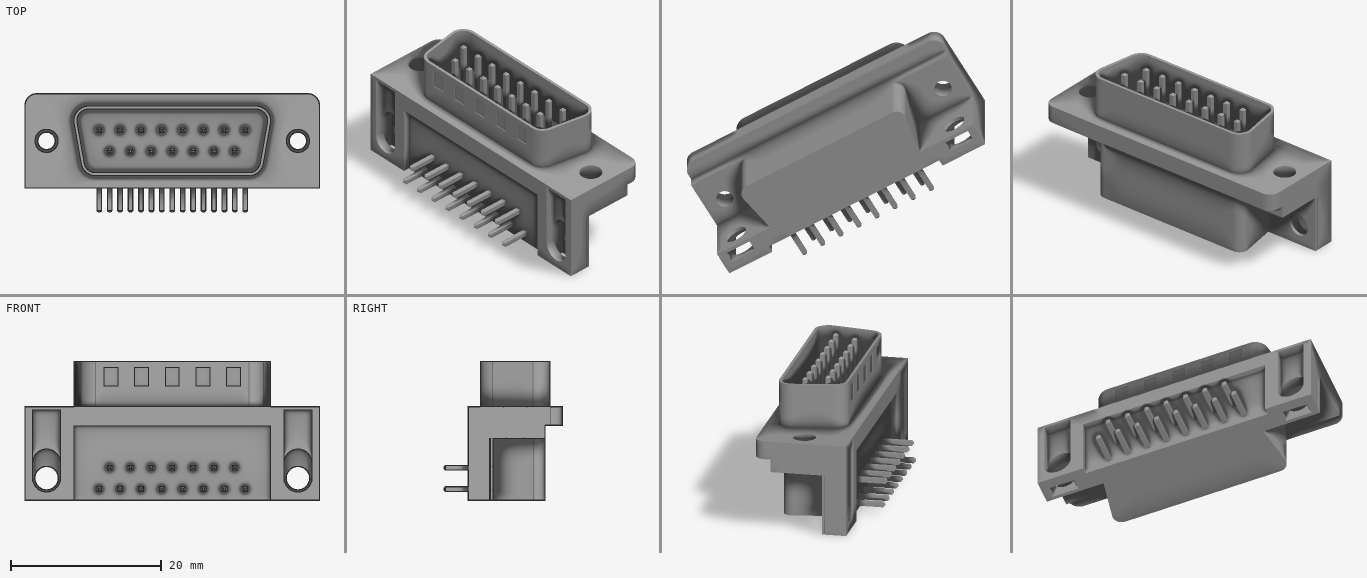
import cadquery as cq
import math


body_width = 39.14
body_height = 12.45
flange_depth = 12.54
flange_thickness = 2.47
flange_corner_radius = 1.55
block_depth = 10.24
block_height = 4.22
leg_depth = 3.3
leg_height = body_height - block_height

recess_width = 26.1
recess_depth = 0.9
recess_top_gap = 2.55
recess_top = body_height - recess_top_gap

shell_width = 26.14
shell_depth = 9.25
shell_height = 6.04
shell_wall = 0.4
shell_corner_radius = 1.95
shell_side_angle = 10
shell_center_y = flange_depth / 2
housing_inset = shell_center_y + shell_depth / 2 - block_depth

dimple_count = 5
dimple_pitch = 4.07
dimple_width = 1.83
dimple_height = 2.48
dimple_depth = 0.1
dimple_top_gap = 0.8

mount_spacing = 33.4
screw_hole_diameter = 2.3
screw_counterbore_diameter = 3.07
screw_counterbore_depth = flange_thickness
board_hole_diameter = 3.1
board_hole_z = 2.96

slot_width = 3.68
slot_depth = 1.35
slot_top = 12.0
slot_pocket_depth = 2.84
slot_pocket_rise = 2.03

groove_width = 0.13
groove_depth = 0.2
groove_y = 2.9

pin_size = 0.64
pin_tip_chamfer = 0.2
pin_pitch = 2.77
pin_row_spacing = 2.84
long_row_count = 8
short_row_count = 7
mating_pin_height = shell_height
solder_pin_length = 3.18
solder_row_z = 1.5
pin_root = 1.0


def box(width, y_range, z_range, center_x=0):
    """Box centred on center_x, spanning the given Y and Z ranges."""
    y_min, y_max = y_range
    z_min, z_max = z_range
    return (
        cq.Workplane("XY", origin=(center_x, (y_min + y_max) / 2, z_min))
        .rect(width, y_max - y_min)
        .extrude(z_max - z_min)
    )


def d_prism(inset, z_min, z_max):
    """D-shaped prism whose outline lies inside the shell outline by inset."""
    angle = math.radians(shell_side_angle)
    corner_radius = shell_corner_radius - inset
    half_depth = shell_depth / 2 - inset
    back_arc_x = shell_width / 2 - shell_corner_radius
    back_arc_y = shell_depth / 2 - shell_corner_radius
    side_x = back_arc_x + corner_radius * math.cos(angle)
    side_y = back_arc_y - corner_radius * math.sin(angle)
    back_x = side_x + (half_depth - side_y) * math.tan(angle)
    front_x = side_x - (half_depth + side_y) * math.tan(angle)
    corners = [
        (-back_x, half_depth),
        (back_x, half_depth),
        (front_x, -half_depth),
        (-front_x, -half_depth),
    ]
    return (
        cq.Workplane("XY", origin=(0, shell_center_y, z_min))
        .polyline(corners)
        .close()
        .extrude(z_max - z_min)
        .edges("|Z")
        .fillet(corner_radius)
    )


def row_positions(count, pitch):
    """Evenly spaced positions centred on zero."""
    return [(i - (count - 1) / 2) * pitch for i in range(count)]


def make_body():
    flange = box(body_width, (0, flange_depth), (body_height - flange_thickness, body_height))
    flange = flange.edges("|Z and >Y").fillet(flange_corner_radius)
    block = box(body_width, (0, block_depth), (leg_height, body_height))
    legs = box(body_width, (0, leg_depth), (0, body_height))
    housing = d_prism(housing_inset, 0, body_height)
    recess = box(recess_width, (0, recess_depth), (0, recess_top))
    return block.union(flange).union(legs).union(housing).cut(recess)


def make_shell():
    top = body_height + shell_height
    shell = d_prism(0, body_height, top).cut(d_prism(shell_wall, body_height, top))
    front_y = shell_center_y - shell_depth / 2
    dimple_top = top - dimple_top_gap
    for x in row_positions(dimple_count, dimple_pitch):
        dimple = box(
            dimple_width,
            (front_y, front_y + dimple_depth),
            (dimple_top - dimple_height, dimple_top),
            x,
        )
        shell = shell.cut(dimple)
    return shell


def z_cylinder(x, diameter, z_min, z_max):
    """Cylinder along Z on the centre line of the shell."""
    return (
        cq.Workplane("XY", origin=(x, shell_center_y, z_min))
        .circle(diameter / 2)
        .extrude(z_max - z_min)
    )


def y_cylinder(x, z, diameter, depth):
    """Cylinder running from the front face in the +Y direction."""
    return cq.Workplane("XZ", origin=(x, 0, z)).circle(diameter / 2).extrude(-depth)


def mount_cutout(x):
    """Everything removed at one mounting position."""
    screw_hole = z_cylinder(x, screw_hole_diameter, 0, body_height)
    counterbore = z_cylinder(
        x, screw_counterbore_diameter, body_height - screw_counterbore_depth, body_height
    )
    board_hole = y_cylinder(x, board_hole_z, board_hole_diameter, leg_depth)
    slot = box(slot_width, (0, slot_depth), (board_hole_z, slot_top), x)
    slot = slot.union(y_cylinder(x, board_hole_z, slot_width, slot_depth))
    pocket_top = board_hole_z + slot_pocket_rise
    pocket = box(slot_width, (slot_depth, slot_pocket_depth), (0, pocket_top), x)
    pocket = pocket.union(y_cylinder(x, pocket_top, slot_width, slot_pocket_depth))
    side = math.copysign(1, x)
    groove = box(
        groove_depth,
        (groove_y - groove_width / 2, groove_y + groove_width / 2),
        (0, leg_height),
        side * (body_width - groove_depth) / 2,
    )
    cutout = screw_hole
    for part in (counterbore, board_hole, slot, pocket, groove):
        cutout = cutout.union(part)
    return cutout


def make_pin(direction, origin, length):
    """Square pin with a chamfered tip, running from origin along direction."""
    base = cq.Plane(origin=origin, xDir=(1, 0, 0), normal=direction)
    pin = cq.Workplane(base).rect(pin_size, pin_size).extrude(length)
    tip = cq.DirectionMinMaxSelector(cq.Vector(*direction))
    return pin.faces(tip).chamfer(pin_tip_chamfer)


def make_pins():
    up = (0, 0, 1)
    forward = (0, -1, 0)
    rows = [
        (long_row_count, shell_center_y + pin_row_spacing / 2, solder_row_z),
        (short_row_count, shell_center_y - pin_row_spacing / 2, solder_row_z + pin_row_spacing),
    ]
    mating_root_z = body_height - pin_root
    solder_root_y = recess_depth + pin_root
    pins = []
    for count, mating_y, solder_z in rows:
        for x in row_positions(count, pin_pitch):
            pins.append(make_pin(up, (x, mating_y, mating_root_z), mating_pin_height + pin_root))
            pins.append(make_pin(forward, (x, solder_root_y, solder_z), solder_root_y + solder_pin_length))
    return pins


result = make_body().union(make_shell())
for mount_x in row_positions(2, mount_spacing):
    result = result.cut(mount_cutout(mount_x))
for pin in make_pins():
    result = result.union(pin)